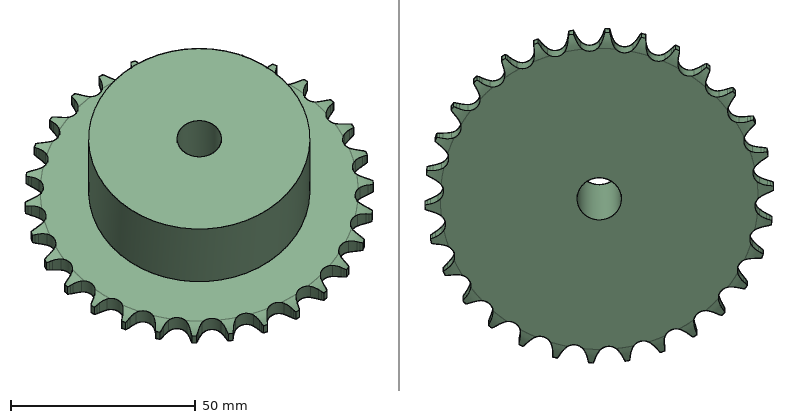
import cadquery as cq
import math


TOOTH_COUNT = 30
OUTER_DIAMETER = 94.7
PITCH_DIAMETER = 91.1
ROLLER_DIAMETER = 6.3
SEAT_CLEARANCE = 0.04
PLATE_THICKNESS = 5.3
SIDE_ROUND_RADIUS = 10.0
SIDE_ROUND_DEPTH = 0.9
HUB_DIAMETER = 60.0
BORE_DIAMETER = 12.0
TOTAL_HEIGHT = 30.0

OUTER_RADIUS = OUTER_DIAMETER / 2
TOOTH_STEP = 360 / TOOTH_COUNT
HALF_STEP = TOOTH_STEP / 2

SEAT_END_SLOPE = 35 + 60 / TOOTH_COUNT
WORKING_TURN = 18 - 56 / TOOTH_COUNT
FLAT_SLOPE = SEAT_END_SLOPE - WORKING_TURN
TOPPING_TURN = 17 - 64 / TOOTH_COUNT
SEAT_RADIUS = 0.5025 * ROLLER_DIAMETER + SEAT_CLEARANCE
WORKING_RADIUS = 1.3025 * ROLLER_DIAMETER + SEAT_CLEARANCE
FLAT_LENGTH = ROLLER_DIAMETER * (
    1.4 * math.sin(math.radians(TOPPING_TURN)) - 0.8 * math.sin(math.radians(WORKING_TURN))
)
TOPPING_RADIUS = (
    ROLLER_DIAMETER
    * (0.8 * math.cos(math.radians(WORKING_TURN)) + 1.4 * math.cos(math.radians(TOPPING_TURN)))
    - WORKING_RADIUS
)


def turned(point, degrees):
    """Point rotated about the wheel axis."""
    x, y = point
    turn = math.radians(degrees)
    return (
        x * math.cos(turn) - y * math.sin(turn),
        x * math.sin(turn) + y * math.cos(turn),
    )


def mirrored(point):
    """Point reflected in the gap centre line, the X axis."""
    return (point[0], -point[1])


def arc_point(start, radius, slope_from, slope_to):
    """Point where an arc reaches slope_to; a negative radius makes the tooth hollow."""
    first = math.radians(slope_from)
    last = math.radians(slope_to)
    return (
        start[0] + radius * (math.sin(last) - math.sin(first)),
        start[1] + radius * (math.cos(first) - math.cos(last)),
    )


def gap_points():
    """Points up one side of a gap centred on +X, from the roller seat to the tooth point."""
    root = (PITCH_DIAMETER / 2 - SEAT_RADIUS, 0)
    seat_end = arc_point(root, -SEAT_RADIUS, 90, SEAT_END_SLOPE)

    middle_slope = (SEAT_END_SLOPE + FLAT_SLOPE) / 2
    working_middle = arc_point(seat_end, -WORKING_RADIUS, SEAT_END_SLOPE, middle_slope)
    working_end = arc_point(seat_end, -WORKING_RADIUS, SEAT_END_SLOPE, FLAT_SLOPE)

    flat_end = (
        working_end[0] + FLAT_LENGTH * math.cos(math.radians(FLAT_SLOPE)),
        working_end[1] + FLAT_LENGTH * math.sin(math.radians(FLAT_SLOPE)),
    )

    half_width = -turned(flat_end, -HALF_STEP)[1]
    start_cosine = math.cos(math.radians(FLAT_SLOPE - HALF_STEP))
    point_slope = HALF_STEP + math.degrees(math.acos(start_cosine - half_width / TOPPING_RADIUS))
    middle_slope = (FLAT_SLOPE + point_slope) / 2
    topping_middle = arc_point(flat_end, TOPPING_RADIUS, FLAT_SLOPE, middle_slope)
    tooth_point = arc_point(flat_end, TOPPING_RADIUS, FLAT_SLOPE, point_slope)

    return root, seat_end, working_middle, working_end, flat_end, topping_middle, tooth_point


def pointed_wheel():
    """Wheel with full-height pointed teeth, one of them centred on +X."""
    root, seat_end, working_middle, working_end, flat_end, topping_middle, tooth_point = gap_points()
    outline = cq.Workplane("XY").moveTo(*turned(mirrored(tooth_point), HALF_STEP))
    for index in range(TOOTH_COUNT):
        gap = HALF_STEP + index * TOOTH_STEP
        outline = (
            outline
            .threePointArc(turned(mirrored(topping_middle), gap), turned(mirrored(flat_end), gap))
            .lineTo(*turned(mirrored(working_end), gap))
            .threePointArc(turned(mirrored(working_middle), gap), turned(mirrored(seat_end), gap))
            .threePointArc(turned(root, gap), turned(seat_end, gap))
            .threePointArc(turned(working_middle, gap), turned(working_end, gap))
            .lineTo(*turned(flat_end, gap))
            .threePointArc(turned(topping_middle, gap), turned(tooth_point, gap))
        )
    return outline.close().extrude(PLATE_THICKNESS)


def plate_blank():
    """Disc whose two faces curve smoothly toward each other near the outer rim."""
    centre_drop = SIDE_ROUND_RADIUS - SIDE_ROUND_DEPTH
    flat_radius = OUTER_RADIUS - math.sqrt(SIDE_ROUND_RADIUS**2 - centre_drop**2)
    return (
        cq.Workplane("XZ")
        .lineTo(flat_radius, 0)
        .radiusArc((OUTER_RADIUS, SIDE_ROUND_DEPTH), -SIDE_ROUND_RADIUS)
        .lineTo(OUTER_RADIUS, PLATE_THICKNESS - SIDE_ROUND_DEPTH)
        .radiusArc((flat_radius, PLATE_THICKNESS), -SIDE_ROUND_RADIUS)
        .lineTo(0, PLATE_THICKNESS)
        .close()
        .revolve(360, (0, 0, 0), (0, 1, 0))
    )


toothed_plate = plate_blank().intersect(pointed_wheel())
hub = cq.Workplane("XY").circle(HUB_DIAMETER / 2).extrude(TOTAL_HEIGHT)
bore = cq.Workplane("XY").circle(BORE_DIAMETER / 2).extrude(TOTAL_HEIGHT)
result = toothed_plate.union(hub).cut(bore)